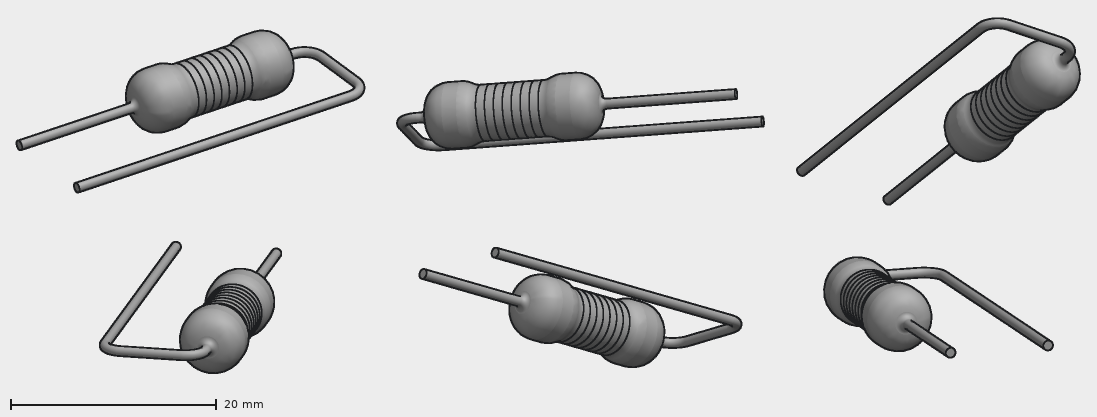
import cadquery as cq
import math


lead_radius = 0.5
lead_pitch = 10.0
lead_tip_y = -22.35
bend_radius = 2.0
bend_start_y = 9.75

collar_radius = 0.625

body_length = 17.5
cap_radius = 6.5 / 2
waist_radius = 5.53 / 2
cap_shoulder_y = 6.46
flare_outer_y = 5.0

band_radius = 5.54 / 2
band_width = 0.9
band_count = 4
band_pitch = 2 * band_width

body_end_y = body_length / 2
collar_foot_radius = lead_radius + collar_radius
collar_top_y = body_end_y + collar_radius
flare_inner_y = (band_count - 0.5) * band_width
waist_joint_y = flare_inner_y - band_width / 2
flare_middle_y = (flare_inner_y + flare_outer_y) / 2
flare_middle_radius = (waist_radius + cap_radius) / 2


def quarter_arc_point(center, radius, x_sign, y_sign):
    """Middle point of a quarter circle lying in the given quadrant around its centre."""
    offset = radius * math.sqrt(0.5)
    return (center[0] + x_sign * offset, center[1] + y_sign * offset)


def make_disc(radius, width, center_y):
    """Solid disc on the body axis, centred lengthwise at center_y."""
    upper_face_y = center_y + width / 2
    return cq.Workplane("XZ", origin=(0, upper_face_y, 0)).circle(radius).extrude(width)


def make_body_end():
    """Upper end of the body of revolution: short waist stub, flare, cap, rounded end and collar."""
    collar_center = (collar_foot_radius, collar_top_y)
    collar_middle = quarter_arc_point(collar_center, collar_radius, -1, -1)
    return (
        cq.Workplane("XY")
        .moveTo(0, waist_joint_y)
        .lineTo(waist_radius, waist_joint_y)
        .lineTo(waist_radius, flare_inner_y)
        .tangentArcPoint((flare_middle_radius, flare_middle_y), relative=False)
        .tangentArcPoint((cap_radius, flare_outer_y), relative=False)
        .lineTo(cap_radius, cap_shoulder_y)
        .tangentArcPoint((collar_foot_radius, body_end_y), relative=False)
        .threePointArc(collar_middle, (lead_radius, collar_top_y))
        .lineTo(0, collar_top_y)
        .close()
        .revolve(360, (0, 0, 0), (0, 1, 0))
    )


def make_body():
    """Plain waist cylinder between two mirrored body ends."""
    waist = make_disc(waist_radius, 2 * waist_joint_y, 0)
    body_end = make_body_end()
    return waist.union(body_end).union(body_end.mirror("XZ"))


def make_straight_lead():
    """Lead running from the lower collar straight down to the tip plane."""
    return (
        cq.Workplane("XZ", origin=(0, -collar_top_y, 0))
        .circle(lead_radius)
        .extrude(-collar_top_y - lead_tip_y)
    )


def make_folded_lead():
    """Lead that leaves the upper collar, turns through two bends and runs back to the tip plane."""
    crossbar_y = bend_start_y + bend_radius
    first_bend_center = (bend_radius, bend_start_y)
    second_bend_center = (lead_pitch - bend_radius, bend_start_y)
    first_bend_middle = quarter_arc_point(first_bend_center, bend_radius, -1, 1)
    second_bend_middle = quarter_arc_point(second_bend_center, bend_radius, 1, 1)
    centreline = (
        cq.Workplane("XY")
        .moveTo(0, collar_top_y)
        .lineTo(0, bend_start_y)
        .threePointArc(first_bend_middle, (bend_radius, crossbar_y))
        .lineTo(lead_pitch - bend_radius, crossbar_y)
        .threePointArc(second_bend_middle, (lead_pitch, bend_start_y))
        .lineTo(lead_pitch, lead_tip_y)
    )
    section = cq.Workplane("XZ", origin=(0, collar_top_y, 0)).circle(lead_radius)
    return section.sweep(centreline)


result = make_body()
for band_index in range(band_count):
    band_y = (band_index - (band_count - 1) / 2) * band_pitch
    result = result.union(make_disc(band_radius, band_width, band_y))
result = result.union(make_straight_lead()).union(make_folded_lead())